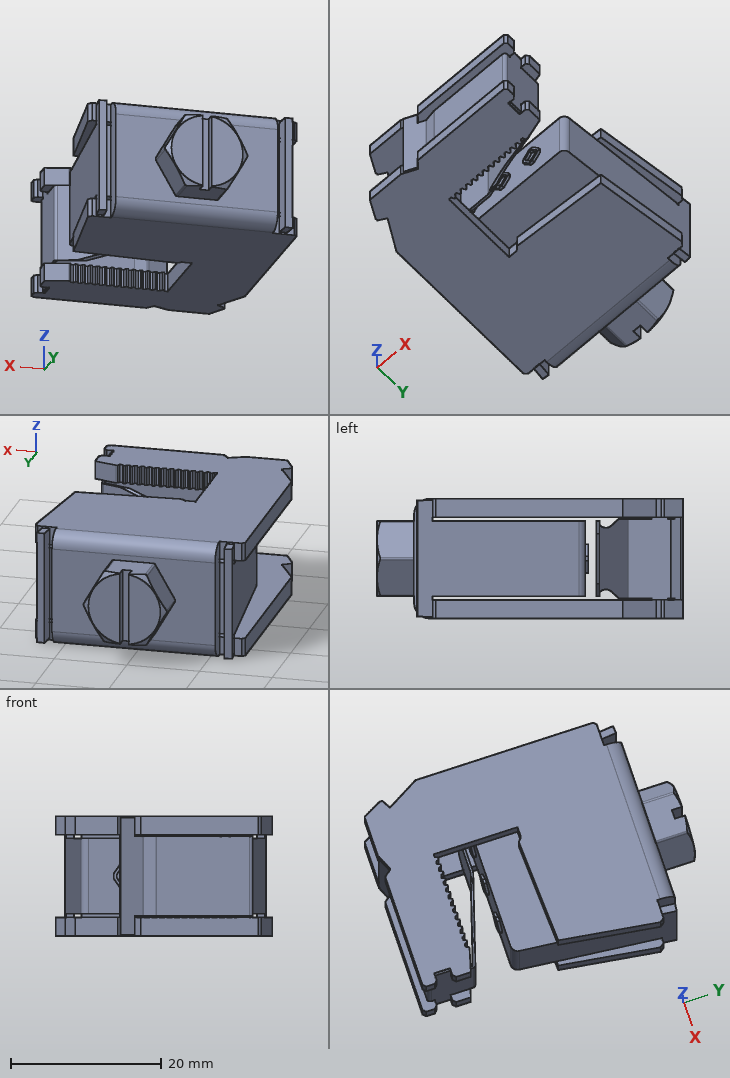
import cadquery as cq
import math


total_height = 40.85
frame_half_width = 8.0
plate_thickness = 2.5
plate_top = 33.4
bridge_thickness = 2.5
bridge_top = plate_top + bridge_thickness
bridge_half_length = 11.22
bridge_bend_radius = 2.16
screw_x = 14.65

jaw_back_x = 10.45
jaw_top = 18.9
jaw_floor = 7.12
lower_jaw_x = 27.4
corner_cut = 0.4
tooth_count = 14
tooth_pitch = 1.0
tooth_height = 0.42
tooth_flat = 0.25
valley_flat = 0.35
first_tooth_x = 11.18
end_notch_x = 26.0
end_notch_bottom = 2.0
end_notch_top = 4.2
foot_notch_start = (8.28, 0.0)
foot_notch_peak = (10.56, 1.0)
foot_notch_end = (11.34, 0.0)

block_bottom = 13.05
block_half_width = 5.03
block_half_base = 11.22
block_half_top = 13.42
block_corner_radius = 1.0
ear_top = 35.4
ear_thickness = 1.05
ear_half_width = 7.75

pad_pitch = 5.5
pad_height = 0.4
pad_half_x = 1.42
pad_half_z = 1.93
pad_tip = 0.3
pad_bore_ratio = 0.7
pad_x_positions = [screw_x + i * pad_pitch for i in (-1, 0, 1)]

head_across_flats = 10.03
head_edge_radius = 0.33
head_crown_radius = 4.95
head_crown_angle = 30.0
slot_width = 1.25
slot_depth = 1.45

leaf_thickness = 0.35
leaf_bend_radius = 0.12
leaf_half_width = 5.3
leaf_foot_half_width = 7.8
leaf_foot_top = 1.2
leaf_foot_start_x = 8.7
leaf_foot_end_x = 11.67
leaf_floor_start_x = 13.4
leaf_floor = 1.0
leaf_wall_x = 26.3
leaf_knee = 7.7
leaf_slope_end_x = 13.8
leaf_top = 11.57
leaf_tip_x = 8.75
leaf_tip_half_width = 5.03
leaf_tip_cut_x = 1.24
leaf_tip_cut_z = 1.7
neck_start = 8.6
neck_arc_start = (9.7, 4.3)
neck_arc_middle = (10.3, 4.12)
neck_arc_end = (11.1, 4.45)


def prism(points, z_from, z_to):
    """Extrude a closed XY outline between two Z levels."""
    base = cq.Workplane("XY").workplane(offset=z_from)
    return base.polyline(points).close().extrude(z_to - z_from)


def box(x_range, y_range, z_range):
    """Box between the given (low, high) limits along each axis."""
    sizes = [high - low for low, high in (x_range, y_range, z_range)]
    corner = (x_range[0], y_range[0], z_range[0])
    return cq.Workplane("XY").box(*sizes, centered=False).translate(corner)


def serration():
    """Points of the trapezoidal teeth along the lower jaw, from the back outwards."""
    half_flat = tooth_flat / 2
    half_base = (tooth_pitch - valley_flat) / 2
    crest = jaw_floor + tooth_height
    points = []
    for i in range(tooth_count):
        x = first_tooth_x + i * tooth_pitch
        points += [(x - half_base, jaw_floor), (x - half_flat, crest), (x + half_flat, crest)]
        if i < tooth_count - 1:
            points.append((x + half_base, jaw_floor))
    return points


def side_plate_outline():
    """Points of the C-shaped plate, clockwise from its lower back corner."""
    c = corner_cut
    outer_edge = [
        (2.64, 0), (1.3, 2.55), (1.3, 2.95), (2.5, 3.62), (0, 8.05),
        (0, plate_top - c), (c, plate_top), (28.46, plate_top), (28.9, 32.85), (26.95, 19.1),
    ]
    jaw_opening = [(12.43, 18.4), (11.84, jaw_top), (jaw_back_x, jaw_top), (jaw_back_x, jaw_floor)]
    lower_jaw_end = [
        (lower_jaw_x, 6.68), (lower_jaw_x, end_notch_top + c), (lower_jaw_x - c, end_notch_top),
        (end_notch_x, end_notch_top), (end_notch_x, end_notch_bottom),
        (lower_jaw_x - c, end_notch_bottom), (lower_jaw_x, end_notch_bottom - c),
        (lower_jaw_x, c), (lower_jaw_x - c, 0),
    ]
    foot_notch = [foot_notch_end, foot_notch_peak, foot_notch_start]
    return outer_edge + jaw_opening + serration() + lower_jaw_end + foot_notch


def make_frame():
    """Two C-shaped plates joined by a bridge with rounded long edges."""
    inner = frame_half_width - plate_thickness
    plates = prism(side_plate_outline(), inner, frame_half_width)
    plates = plates.union(prism(side_plate_outline(), -frame_half_width, -inner))
    bridge = box(
        (screw_x - bridge_half_length, screw_x + bridge_half_length),
        (plate_top, bridge_top),
        (-frame_half_width, frame_half_width),
    )
    return plates.union(bridge.edges(">Y and |X").fillet(bridge_bend_radius))


def make_pressure_block():
    """Tapered block hanging below the bridge, with two leaning ears beside the bridge."""
    taper = (block_half_top - block_half_base) / (ear_top - block_bottom)
    half_at_plate_top = block_half_base + taper * (plate_top - block_bottom)
    profile = [
        (-block_half_base, block_bottom), (block_half_base, block_bottom),
        (half_at_plate_top, plate_top), (-half_at_plate_top, plate_top),
    ]
    block = prism(profile, -block_half_width, block_half_width)
    block = block.edges("<Y and |Z").fillet(block_corner_radius)
    ear_profile = [
        (half_at_plate_top, plate_top), (block_half_top, ear_top),
        (block_half_top - ear_thickness, ear_top + taper * ear_thickness),
        (half_at_plate_top - ear_thickness, plate_top),
    ]
    ear = prism(ear_profile, -ear_half_width, ear_half_width)
    return block.union(ear).union(ear.mirror("YZ")).translate((screw_x, 0, 0))


def make_pad(x):
    """Shallow ring with a stretched octagonal outline."""
    corners = [
        (pad_half_x, pad_tip), (pad_tip, pad_half_z),
        (-pad_tip, pad_half_z), (-pad_half_x, pad_tip),
        (-pad_half_x, -pad_tip), (-pad_tip, -pad_half_z),
        (pad_tip, -pad_half_z), (pad_half_x, -pad_tip),
    ]
    bore = [(pad_bore_ratio * u, pad_bore_ratio * v) for u, v in corners]
    plane = cq.Workplane("XZ", origin=(x, block_bottom, 0))
    return plane.polyline(corners).close().polyline(bore).close().extrude(pad_height)


def make_screw_head():
    """Slotted hexagon head with rounded edges and a conical crown."""
    height = total_height - bridge_top
    across_corners = head_across_flats / math.cos(math.radians(30))
    corner_radius = across_corners / 2
    crown_drop = (corner_radius - head_crown_radius) * math.tan(math.radians(head_crown_angle))
    head = cq.Workplane("XY").polygon(6, across_corners).extrude(height)
    head = head.edges("|Z").fillet(head_edge_radius)
    crown_profile = [
        (0, 0), (corner_radius, 0), (corner_radius, height - crown_drop),
        (head_crown_radius, height), (0, height),
    ]
    crown = cq.Workplane("XZ").polyline(crown_profile).close().revolve(360, (0, 0), (0, 1))
    slot = cq.Workplane("XY").box(slot_width, across_corners, 2 * slot_depth).translate((0, 0, height))
    head = head.intersect(crown).cut(slot)
    return head.rotate((0, 0, 0), (1, 0, 0), -90).translate((screw_x, bridge_top, 0))


def offset_path(path, distance):
    """Path parallel to an open polyline, on its left-hand side."""
    directions = [math.atan2(y1 - y0, x1 - x0) for (x0, y0), (x1, y1) in zip(path, path[1:])]
    before = directions[:1] + directions
    after = directions + directions[-1:]
    parallel = []
    for (x, y), angle_in, angle_out in zip(path, before, after):
        turn = angle_out - angle_in
        normal = angle_in + turn / 2 + math.pi / 2
        reach = distance / math.cos(turn / 2)
        parallel.append((x + reach * math.cos(normal), y + reach * math.sin(normal)))
    return parallel


def round_bends(sheet, points, radius):
    """Fillet the bend edges of an upright sheet that pass through the given XY points."""
    for x, y in points:
        sheet = sheet.edges(cq.selectors.NearestToPointSelector((x, y, 0))).fillet(radius)
    return sheet


def make_bent_sheet():
    """Constant-thickness strip along the leaf path, as wide as the frame."""
    foot_run = foot_notch_peak[0] - foot_notch_start[0]
    foot_slope = (foot_notch_peak[1] - foot_notch_start[1]) / foot_run
    outer = [
        (leaf_foot_start_x, 0),
        (leaf_foot_end_x, foot_slope * (leaf_foot_end_x - leaf_foot_start_x)),
        (leaf_floor_start_x, leaf_floor),
        (leaf_wall_x, leaf_floor),
        (leaf_wall_x, leaf_knee),
        (leaf_slope_end_x, leaf_top),
        (leaf_tip_x, leaf_top),
    ]
    inner = offset_path(outer, leaf_thickness)
    outline = outer + inner[::-1]
    sheet = prism(outline, -frame_half_width, frame_half_width)
    large_radius = leaf_bend_radius + leaf_thickness
    sheet = round_bends(sheet, [inner[1]] + outer[2:-1], large_radius)
    return round_bends(sheet, [outer[1]] + inner[2:-1], leaf_bend_radius)


def make_leaf_neck_limits():
    """Width limit of the sloping leaf and its free end, across the YZ plane."""
    neck_z = [neck_arc_start, neck_arc_middle, neck_arc_end]
    lower_side = [(y, -z) for y, z in neck_z]
    side = cq.Workplane("YZ").moveTo(neck_start, -leaf_half_width).lineTo(*lower_side[0])
    side = side.threePointArc(*lower_side[1:]).lineTo(neck_arc_end[0], -leaf_tip_half_width)
    side = side.lineTo(leaf_top, -leaf_tip_half_width).lineTo(leaf_top, leaf_tip_half_width)
    side = side.lineTo(neck_arc_end[0], leaf_tip_half_width).lineTo(*neck_arc_end)
    side = side.threePointArc(neck_arc_middle, neck_arc_start).lineTo(neck_start, leaf_half_width)
    return side.close().extrude(lower_jaw_x)


def make_tip_corner():
    """Triangular piece removed from the upper corner of the leaf's free end."""
    edge = leaf_tip_half_width
    corner = [(leaf_tip_x, edge), (leaf_tip_x + leaf_tip_cut_x, edge), (leaf_tip_x, edge - leaf_tip_cut_z)]
    plane = cq.Workplane("XZ", origin=(0, leaf_top, 0))
    return plane.polyline(corner).close().extrude(leaf_thickness)


def make_leaf_spring():
    """Bent leaf with a wide foot, ears in the jaw end notch, and a necked free end."""
    foot_span = (-leaf_foot_half_width, leaf_foot_half_width)
    foot = box((0, foot_notch_peak[0]), (0, leaf_foot_top), foot_span)
    ears = box((leaf_floor_start_x, lower_jaw_x), (end_notch_bottom, end_notch_top), foot_span)
    wall = box((0, lower_jaw_x), (0, neck_start), (-leaf_half_width, leaf_half_width))
    limits = foot.union(ears).union(wall).union(make_leaf_neck_limits())
    tip_corner = make_tip_corner()
    return make_bent_sheet().intersect(limits).cut(tip_corner).cut(tip_corner.mirror("XY"))


result = make_frame().union(make_pressure_block())
for pad_x in pad_x_positions:
    result = result.union(make_pad(pad_x))
result = result.union(make_screw_head()).union(make_leaf_spring())